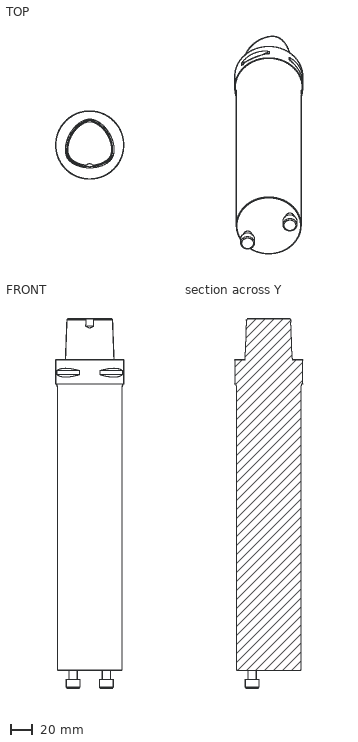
import cadquery as cq
import math

total_height = 341.0
shank_length = 38.0
flange_height = 22.0
bolt_projection = 16.5
flange_top = total_height - shank_length
flange_bottom = flange_top - flange_height

body_diameter = 60.0
flange_diameter = 63.0
body_radius = body_diameter / 2
flange_radius = flange_diameter / 2
body_chamfer = 0.7
flange_chamfer = 0.5
neck_step = 0.85
neck_height = 2.7

lobe_count = 3
shank_base_radius = 22.5
shank_top_radius = 21.0
lobe_height = 1.5
shank_chamfer = 1.0
outline_points = 48

notch_diameter = 8.0
notch_depth = 6.8
notch_point = 2.5
notch_offset = 21.0

slot_count = 4
slot_pitch = 360 / slot_count
first_slot_angle = slot_pitch / 2
slot_z = 291.2
slot_floor_distance = 28.0
slot_floor_height = 3.8
slot_mouth_height = 8.2

bolt_offset = 15.5
bolt_diameter = 8.0
head_diameter = 13.0
head_height = 8.2
head_chamfer = 1.0


def lobed_wire(mean_radius, z):
    """Constant-width outline with one lobe pointing to +Y."""
    points = []
    for i in range(outline_points):
        angle = 2 * math.pi * i / outline_points
        phase = lobe_count * (angle - math.pi / 2)
        reach = mean_radius + lobe_height * math.cos(phase)
        slide = -lobe_count * lobe_height * math.sin(phase)
        x = reach * math.cos(angle) - slide * math.sin(angle)
        y = reach * math.sin(angle) + slide * math.cos(angle)
        points.append(cq.Vector(x, y, z))
    return cq.Wire.assembleEdges([cq.Edge.makeSpline(points, periodic=True)])


def lobed_frustum(bottom_radius, bottom_z, top_radius, top_z):
    wires = [lobed_wire(bottom_radius, bottom_z), lobed_wire(top_radius, top_z)]
    return cq.Workplane(cq.Solid.makeLoft(wires, True))


def shank():
    chamfer_z = total_height - shank_chamfer
    taper = lobed_frustum(shank_base_radius, flange_top, shank_top_radius, chamfer_z)
    tip = lobed_frustum(shank_top_radius, chamfer_z, shank_top_radius - shank_chamfer, total_height)
    return taper.union(tip)


def notch():
    """Drilled pocket with a conical point, open on the -Y side."""
    radius = notch_diameter / 2
    floor_z = total_height - notch_depth
    profile = (
        cq.Workplane("XZ")
        .moveTo(0, total_height)
        .lineTo(radius, total_height)
        .lineTo(radius, floor_z)
        .lineTo(0, floor_z - notch_point)
        .close()
    )
    return profile.revolve(360, (0, 0), (0, 1)).translate((0, -notch_offset, 0))


def body_and_flange():
    profile = (
        cq.Workplane("XZ")
        .moveTo(0, bolt_projection)
        .lineTo(body_radius - body_chamfer, bolt_projection)
        .lineTo(body_radius, bolt_projection + body_chamfer)
        .lineTo(body_radius, flange_bottom - neck_height)
        .lineTo(body_radius + neck_step, flange_bottom)
        .lineTo(flange_radius, flange_bottom)
        .lineTo(flange_radius, flange_top - flange_chamfer)
        .lineTo(flange_radius - flange_chamfer, flange_top)
        .lineTo(0, flange_top)
        .close()
    )
    return profile.revolve(360, (0, 0), (0, 1))


def gripper_slot(angle):
    """Straight tapered slot cut across the flange at the given angle."""
    floor_half = slot_floor_height / 2
    mouth_half = slot_mouth_height / 2
    profile = (
        cq.Workplane("XZ")
        .moveTo(slot_floor_distance, slot_z - floor_half)
        .lineTo(flange_radius, slot_z - mouth_half)
        .lineTo(flange_radius, slot_z + mouth_half)
        .lineTo(slot_floor_distance, slot_z + floor_half)
        .close()
    )
    slot = profile.extrude(flange_radius, both=True)
    return slot.rotate((0, 0, 0), (0, 0, 1), angle)


def bolt(x, y):
    stem = cq.Workplane("XY").circle(bolt_diameter / 2).extrude(bolt_projection)
    head = cq.Workplane("XY").circle(head_diameter / 2).extrude(head_height)
    head = head.faces("<Z").chamfer(head_chamfer)
    return head.union(stem).translate((x, y, 0))


result = body_and_flange().union(shank()).cut(notch())
for index in range(slot_count):
    result = result.cut(gripper_slot(first_slot_angle + index * slot_pitch))

for side in (-1, 1):
    result = result.union(bolt(side * bolt_offset, -side * bolt_offset))